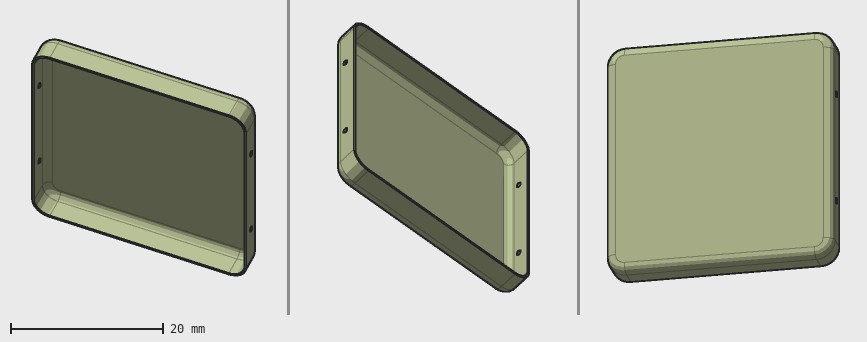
import cadquery as cq

width = 30.6
depth = 4.0
height = 31.8
wall = 0.3
corner_radius = 2.5
back_radius = 1.3

dimple_radius = 0.38
dimple_height = 0.2
dimple_spacing = 15.0
dimple_setback = 1.72


def rounded_block(inset, back_y):
    """Block from the rim to back_y, drawn in from the outer walls by inset."""
    return (
        cq.Workplane("XZ")
        .rect(width - 2 * inset, height - 2 * inset)
        .extrude(-back_y)
        .edges("|Y")
        .fillet(corner_radius - inset)
        .faces(">Y")
        .edges()
        .fillet(back_radius - inset)
    )


def spherical_cap(side, face_x, z):
    """Cap based on the plane x = face_x and bulging toward the tray centre."""
    sphere_radius = (dimple_radius**2 + dimple_height**2) / (2 * dimple_height)
    tip_x = face_x - side * dimple_height
    profile = (
        cq.Workplane("XY")
        .moveTo(face_x, dimple_setback)
        .lineTo(face_x, dimple_setback + dimple_radius)
        .radiusArc((tip_x, dimple_setback), -side * sphere_radius)
        .close()
    )
    cap = profile.revolve(360, (face_x, dimple_setback, 0), (tip_x, dimple_setback, 0))
    return cap.translate((0, 0, z))


result = rounded_block(0, depth).cut(rounded_block(wall, depth - wall))

for side in (-1, 1):
    for z in (-dimple_spacing / 2, dimple_spacing / 2):
        outer_x = side * width / 2
        inner_x = outer_x - side * wall
        result = result.union(spherical_cap(side, inner_x, z))
        result = result.cut(spherical_cap(side, outer_x, z))